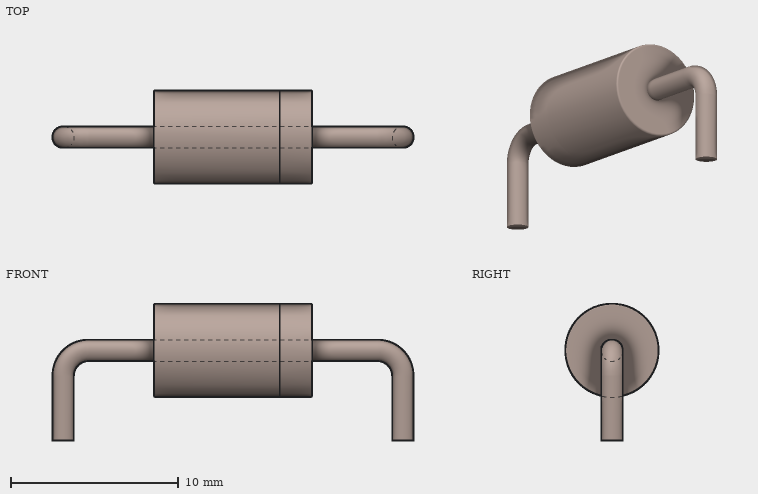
import cadquery as cq

overall_length = 21.62
body_diameter = 5.6
overall_height = 8.2

body_length = 9.47
band_width = 1.95
edge_fillet = 0.1

wire_diameter = 1.3
bend_radius = 1.51

body_end = body_length / 2
band_start = body_end - band_width
leg_x = (overall_length - wire_diameter) / 2
bend_start_x = leg_x - bend_radius
leg_bottom_z = body_diameter / 2 - overall_height


def cylinder_along_x(start_x, end_x, diameter):
    return (
        cq.Workplane("YZ", origin=(start_x, 0, 0))
        .circle(diameter / 2)
        .extrude(end_x - start_x)
    )


def make_wire():
    """Single wire through the body, bent down into a leg at each end."""
    path = (
        cq.Workplane("XZ")
        .moveTo(-leg_x, leg_bottom_z)
        .lineTo(-leg_x, -bend_radius)
        .tangentArcPoint((-bend_start_x, 0), relative=False)
        .lineTo(bend_start_x, 0)
        .tangentArcPoint((leg_x, -bend_radius), relative=False)
        .lineTo(leg_x, leg_bottom_z)
    )
    return (
        cq.Workplane("XY", origin=(-leg_x, 0, leg_bottom_z))
        .circle(wire_diameter / 2)
        .sweep(path)
    )


def make_housing():
    """Main length of the body, rounded at its outer end and bored for the wire."""
    housing = cylinder_along_x(-body_end, band_start, body_diameter).faces("<X").edges().fillet(edge_fillet)
    return housing.cut(cylinder_along_x(-body_end, band_start, wire_diameter))


def make_band():
    """Polarity band that completes the body at its +X end, bored for the wire."""
    band = cylinder_along_x(band_start, body_end, body_diameter).faces(">X").edges().fillet(edge_fillet)
    return band.cut(cylinder_along_x(band_start, body_end, wire_diameter))


wire = make_wire()
housing = make_housing()
band = make_band()

result = cq.Compound.makeCompound([housing.val(), band.val(), wire.val()])